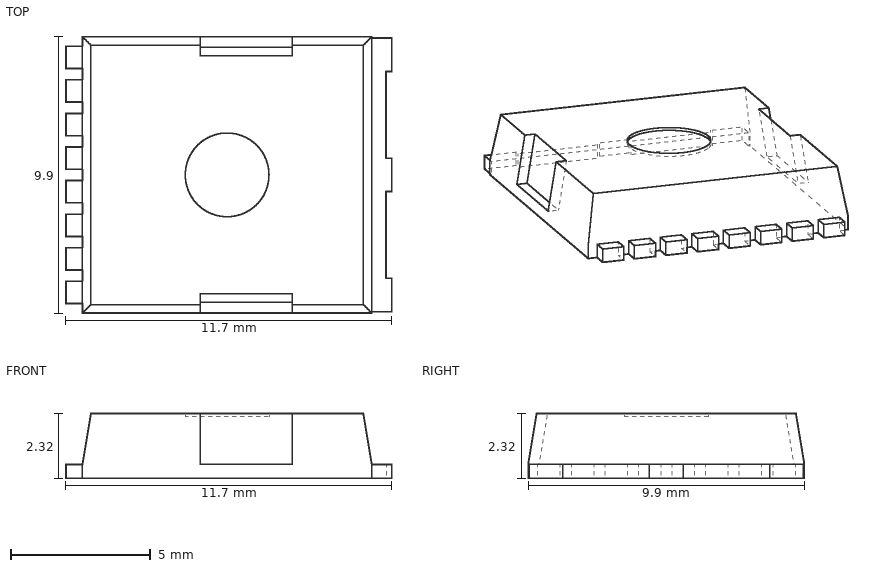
import cadquery as cq
import math

total_length = 11.68
body_width = 9.9
total_height = 2.32

lead_length = 0.6
body_length = 10.37
base_height = 0.5
cap_height = total_height - base_height
cap_inset = 0.3
cap_taper = math.degrees(math.atan(cap_inset / cap_height))
body_left = lead_length - total_length / 2
body_right = body_left + body_length
body_center = (body_left + body_right) / 2

lead_count = 8
lead_width = 0.81
lead_pitch = 1.2

tab_width = 9.81
tooth_width = 1.2
tooth_length = 0.2
tab_length = total_length / 2 - body_right - tooth_length

notch_width = 3.29
notch_offset = 0.69
notch_depth = 0.39

mark_diameter = 3.0
mark_depth = 0.1


def block(x_start, length, y_center, width):
    """A box as tall as the base band, standing on the bottom plane."""
    return (
        cq.Workplane("XY")
        .box(length, width, base_height, centered=(False, True, False))
        .translate((x_start, y_center, 0))
    )


def make_body():
    base = block(body_left, body_length, 0, body_width)
    cap = (
        cq.Workplane("XY", origin=(body_center, 0, base_height))
        .rect(body_length, body_width)
        .extrude(cap_height, taper=cap_taper)
    )
    return base.union(cap)


def make_notch(side):
    """Cutter for one notch, its inner wall parallel to the sloping cap side."""
    outer_y = body_width / 2
    wall_bottom_y = outer_y - notch_depth
    profile = [
        (side * outer_y, base_height),
        (side * wall_bottom_y, base_height),
        (side * (wall_bottom_y - cap_inset), total_height),
        (side * outer_y, total_height),
    ]
    notch_start = body_center + notch_offset - notch_width / 2
    return (
        cq.Workplane("YZ", origin=(notch_start, 0, 0))
        .polyline(profile)
        .close()
        .extrude(notch_width)
    )


def make_mark():
    return (
        cq.Workplane("XY", origin=(body_center, 0, total_height - mark_depth))
        .circle(mark_diameter / 2)
        .extrude(mark_depth)
    )


result = make_body()

for notch_side in (-1, 1):
    result = result.cut(make_notch(notch_side))

result = result.cut(make_mark())

for lead_index in range(lead_count):
    lead_y = (lead_index - (lead_count - 1) / 2) * lead_pitch
    result = result.union(block(-total_length / 2, lead_length, lead_y, lead_width))

result = result.union(block(body_right, tab_length, 0, tab_width))
for tooth_side in (-1, 0, 1):
    tooth_y = tooth_side * (tab_width - tooth_width) / 2
    result = result.union(block(body_right, tab_length + tooth_length, tooth_y, tooth_width))